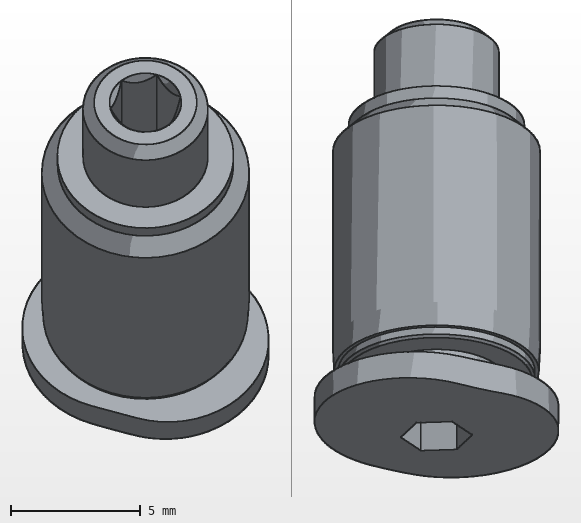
import cadquery as cq
import math

height = 17.0
flange_top = 1.5
body_bottom = 2.4
lip_top = 2.8
taper_top = 3.79
shoulder_bottom = 12.27
shoulder_top = 12.89
body_top = 13.41

flange_length = 9.6
flange_width = 7.79
flange_flat_diameter = 4.62
flange_rim_margin = 0.17
flange_cone_angle = 10.0

neck_diameter = 5.37
neck_fillet = 0.4
lip_diameter = 7.6
lip_chamfer = 0.1
taper_small_diameter = 7.9
body_diameter = 8.0
collar_diameter = 6.8
spigot_diameter = 4.83
spigot_tip_diameter = 3.96

hex_across_flats = 2.4
socket_lead_angle = 30.0
hex_across_corners = hex_across_flats / math.cos(math.radians(30))


def make_flange():
    """Rounded-end plate whose underside is cut back to a shallow cone."""
    plate = cq.Workplane("XY").slot2D(flange_length, flange_width).extrude(flange_top)
    flat_radius = flange_flat_diameter / 2
    rim_radius = flange_length / 2 + flange_rim_margin
    rim_height = (rim_radius - flat_radius) * math.tan(math.radians(flange_cone_angle))
    envelope = (
        cq.Workplane("XZ")
        .lineTo(flat_radius, 0)
        .lineTo(rim_radius, rim_height)
        .lineTo(rim_radius, flange_top)
        .lineTo(0, flange_top)
        .close()
        .revolve(360, (0, 0), (0, 1))
    )
    return plate.intersect(envelope)


def make_turned_body():
    """Neck, stepped body and chamfered spigot as one revolved outline."""
    neck_radius = neck_diameter / 2
    lip_radius = lip_diameter / 2
    body_radius = body_diameter / 2
    collar_radius = collar_diameter / 2
    spigot_radius = spigot_diameter / 2
    tip_radius = spigot_tip_diameter / 2
    tip_chamfer = spigot_radius - tip_radius
    arc_inset = neck_fillet * (1 - math.sqrt(0.5))
    return (
        cq.Workplane("XZ")
        .moveTo(0, flange_top)
        .lineTo(neck_radius + neck_fillet, flange_top)
        .threePointArc(
            (neck_radius + arc_inset, flange_top + arc_inset),
            (neck_radius, flange_top + neck_fillet),
        )
        .lineTo(neck_radius, body_bottom)
        .lineTo(lip_radius - lip_chamfer, body_bottom)
        .lineTo(lip_radius, body_bottom + lip_chamfer)
        .lineTo(lip_radius, lip_top)
        .lineTo(taper_small_diameter / 2, lip_top)
        .lineTo(body_radius, taper_top)
        .lineTo(body_radius, shoulder_bottom)
        .lineTo(collar_radius, shoulder_top)
        .lineTo(collar_radius, body_top)
        .lineTo(spigot_radius, body_top)
        .lineTo(spigot_radius, height - tip_chamfer)
        .lineTo(tip_radius, height)
        .lineTo(0, height)
        .close()
        .revolve(360, (0, 0), (0, 1))
    )


def make_socket():
    """Through hexagon with corners on the Y axis and a conical lead-in."""
    hexagon = (
        cq.Workplane("XY")
        .transformed(rotate=(0, 0, 90))
        .polygon(6, hex_across_corners)
        .extrude(height)
    )
    lead_radius = hex_across_corners / 2
    lead_depth = lead_radius / math.tan(math.radians(socket_lead_angle))
    lead_in = (
        cq.Workplane("XZ")
        .moveTo(0, height)
        .lineTo(lead_radius, height)
        .lineTo(0, height - lead_depth)
        .close()
        .revolve(360, (0, 0), (0, 1))
    )
    return hexagon.union(lead_in)


result = make_flange().union(make_turned_body()).cut(make_socket())